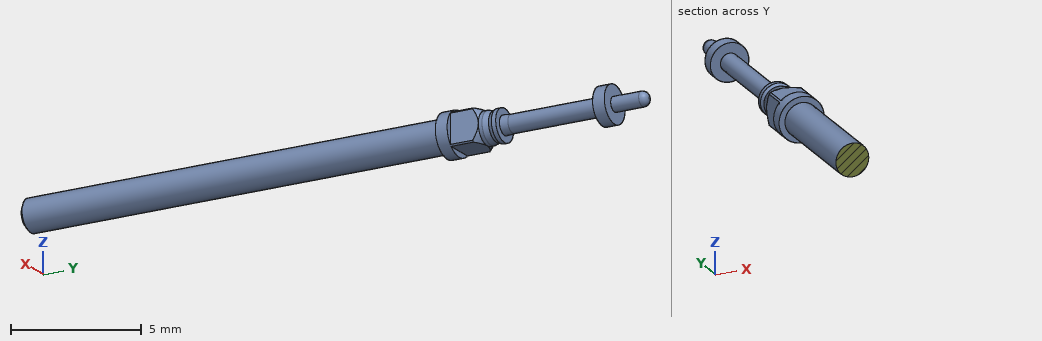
import cadquery as cq

TOTAL_LENGTH = 27.4
TIP_Y = TOTAL_LENGTH / 2

TIP_DIAMETER = 0.63
TIP_ROUNDING = 0.27
COLLAR_DEPTH = 1.5
COLLAR_THICKNESS = 0.52
COLLAR_DIAMETER = 1.62
SHANK_DIAMETER = 0.77
TAPER_DEPTH = 6.0
TAPER_END_DIAMETER = 0.82

FLANGE_DEPTH = 8.35
FLANGE_THICKNESS = 0.52
FLANGE_DIAMETER = 1.9
BARREL_DIAMETER = 1.4
END_CHAMFER_LENGTH = 0.16
END_CHAMFER_WIDTH = 0.22

NECK_DEPTH = 6.35
NECK_DIAMETER = BARREL_DIAMETER
GROOVE_START_DEPTH = 6.55
GROOVE_BOTTOM_DEPTH = 6.7
GROOVE_END_DEPTH = 6.95
GROOVE_DIAMETER = 1.25

SQUARE_DEPTH = 7.12
SQUARE_SIDE = BARREL_DIAMETER
SQUARE_CORNER_DIAMETER = FLANGE_DIAMETER
LEAD_IN = (SQUARE_CORNER_DIAMETER - NECK_DIAMETER) / 2


def turned(profile):
    """Solid of revolution from (depth, diameter) points along its outside."""
    outside = [(diameter / 2, TIP_Y - depth) for depth, diameter in profile]
    front_y = outside[0][1]
    rear_y = outside[-1][1]
    outline = cq.Workplane("XY").polyline([(0, front_y), *outside, (0, rear_y)]).close()
    return outline.revolve(360, (0, 0, 0), (0, 1, 0))


def cylinder(depth, length, diameter):
    return turned([(depth, diameter), (depth + length, diameter)])


def plunger():
    tip = cylinder(0, COLLAR_DEPTH, TIP_DIAMETER)
    tip = tip.faces(">Y").edges().fillet(TIP_ROUNDING)
    collar = cylinder(COLLAR_DEPTH, COLLAR_THICKNESS, COLLAR_DIAMETER)
    shank = turned([
        (COLLAR_DEPTH, SHANK_DIAMETER),
        (TAPER_DEPTH, SHANK_DIAMETER),
        (NECK_DEPTH, TAPER_END_DIAMETER),
    ])
    return tip.union(collar).union(shank)


def grooved_neck():
    return turned([
        (NECK_DEPTH, NECK_DIAMETER),
        (GROOVE_START_DEPTH, NECK_DIAMETER),
        (GROOVE_BOTTOM_DEPTH, GROOVE_DIAMETER),
        (GROOVE_END_DEPTH, NECK_DIAMETER),
        (SQUARE_DEPTH, NECK_DIAMETER),
    ])


def square():
    corners = turned([
        (SQUARE_DEPTH, NECK_DIAMETER),
        (SQUARE_DEPTH + LEAD_IN, SQUARE_CORNER_DIAMETER),
        (FLANGE_DEPTH, SQUARE_CORNER_DIAMETER),
    ])
    length = FLANGE_DEPTH - SQUARE_DEPTH
    middle_y = TIP_Y - SQUARE_DEPTH - length / 2
    flats = cq.Workplane("XY").box(SQUARE_SIDE, length, SQUARE_SIDE).translate((0, middle_y, 0))
    return corners.intersect(flats)


def barrel():
    flange = cylinder(FLANGE_DEPTH, FLANGE_THICKNESS, FLANGE_DIAMETER)
    tube = turned([
        (FLANGE_DEPTH, BARREL_DIAMETER),
        (TOTAL_LENGTH - END_CHAMFER_LENGTH, BARREL_DIAMETER),
        (TOTAL_LENGTH, BARREL_DIAMETER - 2 * END_CHAMFER_WIDTH),
    ])
    return flange.union(tube)


result = plunger().union(grooved_neck()).union(square()).union(barrel())